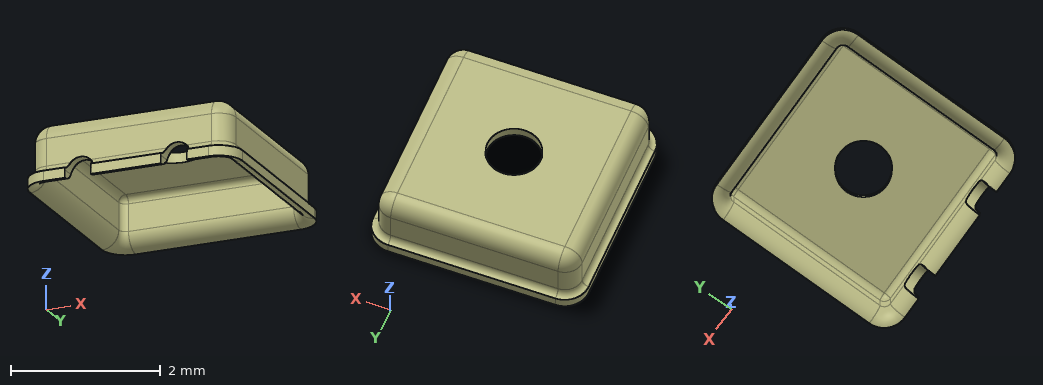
import cadquery as cq
import math

outer_side = 3.1
height = 0.89
sheet = 0.15
rim_radius = 0.1
vent_diameter = 0.763
notch_width = 0.38
notch_height = 0.307
notch_offset = 0.7

bend_height = rim_radius + sheet
body_side = outer_side - 2 * rim_radius
body_radius = bend_height
inner_side = body_side - 2 * sheet
inner_radius = body_radius - sheet


def rounded_block(side, radius, bottom, top):
    """Square block whose vertical and top edges share one radius."""
    block = cq.Workplane("XY").workplane(offset=bottom).rect(side, side).extrude(top - bottom)
    return block.edges("|Z or >Z").fillet(radius)


def make_cup():
    outer = rounded_block(body_side, body_radius, bend_height, height)
    inner = rounded_block(inner_side, inner_radius, bend_height, height - sheet)
    return outer.cut(inner)


def make_flare():
    """Quarter-bend sheet section carried around the foot of the cup."""
    rim_edge = -outer_side / 2
    diagonal = math.cos(math.pi / 4)
    path = (
        cq.Workplane("XY").workplane(offset=bend_height)
        .rect(body_side, body_side).extrude(sheet)
        .edges("|Z").fillet(body_radius)
        .faces("<Z").wires()
    )
    section = (
        cq.Workplane("YZ")
        .moveTo(rim_edge, 0)
        .lineTo(rim_edge, sheet)
        .threePointArc(
            (rim_edge + rim_radius * diagonal, bend_height - rim_radius * diagonal),
            (rim_edge + rim_radius, bend_height),
        )
        .lineTo(rim_edge + bend_height, bend_height)
        .threePointArc(
            (rim_edge + bend_height * diagonal, bend_height - bend_height * diagonal),
            (rim_edge, 0),
        )
        .close()
    )
    return section.sweep(path, transition="right")


def make_notch(x):
    """Round-topped opening through the front wall and its flare."""
    half_width = notch_width / 2
    shoulder = notch_height - half_width
    return (
        cq.Workplane("XZ", origin=(x, -outer_side / 2, 0))
        .moveTo(-half_width, 0)
        .lineTo(-half_width, shoulder)
        .threePointArc((0, notch_height), (half_width, shoulder))
        .lineTo(half_width, 0)
        .close()
        .extrude(-(bend_height + sheet))
    )


result = make_cup().union(make_flare())

vent = cq.Workplane("XY").circle(vent_diameter / 2).extrude(height)
result = result.cut(vent)

for notch_x in (-notch_offset, notch_offset):
    result = result.cut(make_notch(notch_x))